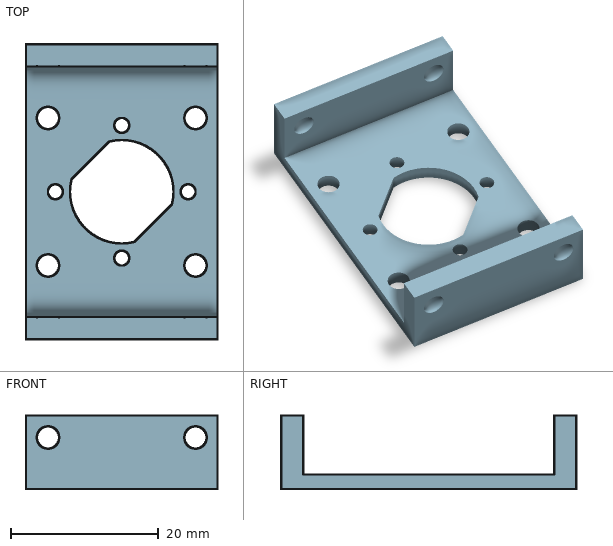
import cadquery as cq

width = 26.0
length = 40.0
height = 10.0
floor_thickness = 2.0
wall_thickness = 3.0

mount_hole_diameter = 3.0
mount_hole_spacing = 20.0
wall_hole_height = 7.0

bore_diameter = 14.0
bore_across_flats = 12.0
flat_normal_angle = 135.0

small_hole_diameter = 2.0
small_hole_circle_radius = 9.0
small_hole_count = 4


def channel():
    inner_length = length - 2 * wall_thickness
    block = cq.Workplane("XY").box(width, length, height, centered=(True, True, False))
    recess = (
        cq.Workplane("XY", origin=(0, 0, floor_thickness))
        .box(width, inner_length, height - floor_thickness, centered=(True, True, False))
    )
    return block.cut(recess)


def central_opening():
    bore = cq.Workplane("XY").circle(bore_diameter / 2).extrude(floor_thickness)
    flats = (
        cq.Workplane("XY")
        .rect(bore_across_flats, bore_diameter)
        .extrude(floor_thickness)
        .rotate((0, 0, 0), (0, 0, 1), flat_normal_angle)
    )
    return bore.intersect(flats)


def floor_mount_holes():
    return (
        cq.Workplane("XY")
        .rect(mount_hole_spacing, mount_hole_spacing, forConstruction=True)
        .vertices()
        .circle(mount_hole_diameter / 2)
        .extrude(floor_thickness)
    )


def small_holes():
    return (
        cq.Workplane("XY")
        .polarArray(small_hole_circle_radius, 0, 360, small_hole_count)
        .circle(small_hole_diameter / 2)
        .extrude(floor_thickness)
    )


def wall_holes():
    return (
        cq.Workplane("XZ")
        .pushPoints([(side * mount_hole_spacing / 2, wall_hole_height) for side in (-1, 1)])
        .circle(mount_hole_diameter / 2)
        .extrude(length / 2, both=True)
    )


result = (
    channel()
    .cut(central_opening())
    .cut(floor_mount_holes())
    .cut(small_holes())
    .cut(wall_holes())
)